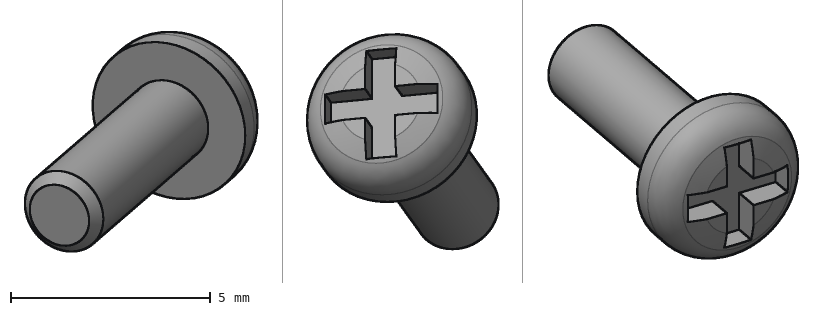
import cadquery as cq
import math

total_length = 7.85
head_diameter = 4.24
head_height = 1.49
rim_height = 0.52
shoulder_radius = 0.9
crown_drop = 0.15
flat_diameter = 2.09
shank_diameter = 2.18
tip_chamfer = 0.27
recess_span = 2.905
recess_width = 0.78
recess_depth = 0.71

head_radius = head_diameter / 2
shank_radius = shank_diameter / 2
tip_y = head_height - total_length

seam_y = head_height - crown_drop
seam_angle = math.asin((seam_y - rim_height) / shoulder_radius)
shoulder_center_x = head_radius - shoulder_radius
seam_x = shoulder_center_x + shoulder_radius * math.cos(seam_angle)
flat_radius = flat_diameter / 2
crown_center_y = (head_height + seam_y) / 2 - (seam_x**2 - flat_radius**2) / (2 * crown_drop)
crown_radius = math.hypot(flat_radius, head_height - crown_center_y)


def arc_point(center_x, center_y, radius, angle):
    """Point on a circle at an angle from the radial direction."""
    return (center_x + radius * math.cos(angle), center_y + radius * math.sin(angle))


def screw_body():
    """Head and chamfered shank, revolved about the screw axis."""
    shoulder_middle = arc_point(shoulder_center_x, rim_height, shoulder_radius, seam_angle / 2)
    crown_start_angle = math.atan2(seam_y - crown_center_y, seam_x)
    crown_end_angle = math.atan2(head_height - crown_center_y, flat_radius)
    crown_middle_angle = (crown_start_angle + crown_end_angle) / 2
    crown_middle = arc_point(0, crown_center_y, crown_radius, crown_middle_angle)
    return (
        cq.Workplane("XY")
        .moveTo(0, tip_y)
        .lineTo(shank_radius - tip_chamfer, tip_y)
        .lineTo(shank_radius, tip_y + tip_chamfer)
        .lineTo(shank_radius, 0)
        .lineTo(head_radius, 0)
        .lineTo(head_radius, rim_height)
        .threePointArc(shoulder_middle, (seam_x, seam_y))
        .threePointArc(crown_middle, (flat_radius, head_height))
        .lineTo(0, head_height)
        .close()
        .revolve(360, (0, 0, 0), (0, 1, 0))
    )


def cross_recess():
    """Two crossed slots sunk from the top of the head."""
    middle_y = head_height - recess_depth / 2
    slot_x = cq.Workplane("XY").box(recess_span, recess_depth, recess_width)
    slot_z = cq.Workplane("XY").box(recess_width, recess_depth, recess_span)
    return slot_x.union(slot_z).translate((0, middle_y, 0))


result = screw_body().cut(cross_recess())